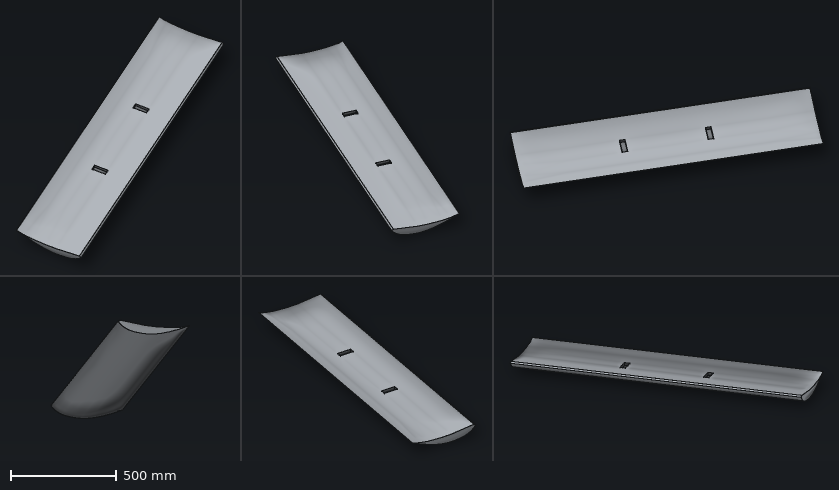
import cadquery as cq

length = 1450.0
chord = 350.0
height = 61.0

thin_edge_z = 55.0
nose_z = 55.0
crest_setback = 10.0

pocket_length = 71.0
pocket_width = 26.0
pocket_depth = 15.0
pocket_spacing = 416.0
pocket_center_x = 1.0
hollow_floor_z = 39.0

thin_edge = (0.0, thin_edge_z)
hollow_bottom = (138.0, hollow_floor_z)
crest = (chord - crest_setback, height)
nose = (chord, nose_z)

upper_curve = [(36.0, 46.0), (65.0, 42.0), hollow_bottom, (210.0, 42.0), (280.0, 52.0), crest]
lower_curve = [
    (72.0, 26.0), (116.0, 13.0), (155.0, 5.0), (203.0, 0.0),
    (255.0, 5.0), (293.0, 13.0), (322.0, 28.0), (341.0, 44.0),
]


def foil_body():
    """Extrude the crescent section along Y, centered on X and Y."""
    return (
        cq.Workplane("XZ", origin=(-chord / 2, length / 2, 0))
        .moveTo(*thin_edge)
        .spline(upper_curve, includeCurrent=True)
        .lineTo(*nose)
        .spline(lower_curve[::-1] + [thin_edge], includeCurrent=True)
        .close()
        .extrude(length)
    )


def mounting_pockets():
    """Blocks reaching from the pocket floors to above the crest."""
    floor_z = hollow_floor_z - pocket_depth
    return (
        cq.Workplane("XY", origin=(pocket_center_x, 0, floor_z))
        .rarray(15, pocket_spacing, 1, 2)
        .rect(pocket_length, pocket_width)
        .extrude(height - floor_z)
    )


result = foil_body().cut(mounting_pockets())